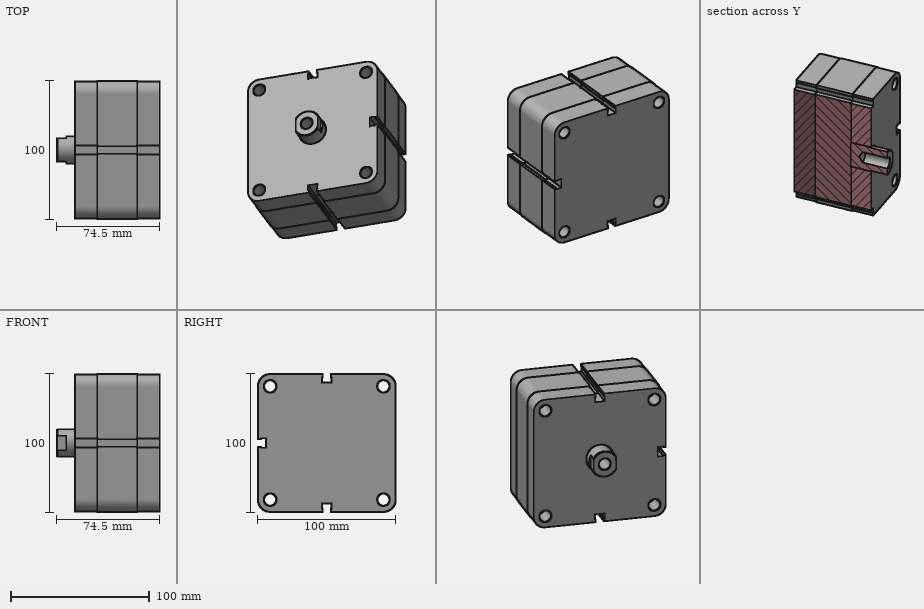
import cadquery as cq
import math

ROD_REACH = 13.0
CAP_LENGTH = 16.4
BODY_LENGTH = 61.5
BARREL_LENGTH = BODY_LENGTH - 2 * CAP_LENGTH

FRONT_CAP_X = 0.0
BARREL_X = FRONT_CAP_X + CAP_LENGTH
REAR_CAP_X = BARREL_X + BARREL_LENGTH

SIDE = 100.0
CORNER_RADIUS = 9.0
CAP_INSET = 0.3

SLOT_MOUTH_WIDTH = 5.6
SLOT_FLOOR_WIDTH = 6.6
SLOT_LIP_DEPTH = 2.7
SLOT_DEPTH = 6.0
SLOT_ANGLES = (-90, 0, 90)

BOLT_SPACING = SIDE - 2 * CORNER_RADIUS
BOLT_DIAMETER = 8.6

HOLE_CHAMFER = 0.4

ROD_DIAMETER = 20.0
ROD_CHAMFER = 0.5
ROD_FLAT_SPACING = 17.0
ROD_FLAT_LENGTH = 6.8
ROD_HOLE_DIAMETER = 8.6
ROD_HOLE_DEPTH = 20.0
DRILL_POINT_ANGLE = 118.0
ROD_TIP_X = FRONT_CAP_X - ROD_REACH
ROD_LENGTH = ROD_REACH + CAP_LENGTH


def slot_cutter(angle, inset):
    """Slot open to one side, with its walls and floor moved into the material by the inset."""
    floor_y = -SIDE / 2 + SLOT_DEPTH + inset
    lip_y = -SIDE / 2 + SLOT_LIP_DEPTH - inset
    outside_y = -SIDE
    mouth = (
        cq.Workplane("YZ")
        .center((outside_y + floor_y) / 2, 0)
        .rect(floor_y - outside_y, SLOT_MOUTH_WIDTH + 2 * inset)
        .extrude(BODY_LENGTH)
    )
    undercut = (
        cq.Workplane("YZ")
        .center((lip_y + floor_y) / 2, 0)
        .rect(floor_y - lip_y, SLOT_FLOOR_WIDTH + 2 * inset)
        .extrude(BODY_LENGTH)
    )
    return mouth.union(undercut).rotate((0, 0, 0), (1, 0, 0), angle)


def slotted_block(start_x, length, inset):
    """Rounded square block with sensor slots and tie rod holes along X."""
    width = SIDE - 2 * inset
    block = (
        cq.Workplane("YZ")
        .rect(width, width)
        .extrude(length)
        .edges("|X")
        .fillet(CORNER_RADIUS - inset)
        .faces("<X")
        .workplane(origin=(0, 0, 0))
        .rect(BOLT_SPACING, BOLT_SPACING, forConstruction=True)
        .vertices()
        .hole(BOLT_DIAMETER)
    )
    for angle in SLOT_ANGLES:
        block = block.cut(slot_cutter(angle, inset))
    return block.translate((start_x, 0, 0))


def make_cap(start_x, outer_face):
    """Inset block whose tie rod holes are chamfered on the outer end face."""
    return (
        slotted_block(start_x, CAP_LENGTH, CAP_INSET)
        .faces(outer_face)
        .edges("%CIRCLE")
        .edges(cq.selectors.RadiusNthSelector(0))
        .chamfer(HOLE_CHAMFER)
    )


def make_barrel():
    return slotted_block(BARREL_X, BARREL_LENGTH, 0.0)


def make_front_cap():
    """Front cap with a bore that the piston rod fills, chamfered at its mouth."""
    bore_radius = ROD_DIAMETER / 2
    bore = cq.Workplane("YZ", origin=(FRONT_CAP_X, 0, 0)).circle(bore_radius).extrude(CAP_LENGTH)
    bore_chamfer = cq.Workplane(
        cq.Solid.makeCone(
            bore_radius + HOLE_CHAMFER,
            bore_radius,
            HOLE_CHAMFER,
            pnt=cq.Vector(FRONT_CAP_X, 0, 0),
            dir=cq.Vector(1, 0, 0),
        )
    )
    return make_cap(FRONT_CAP_X, "<X").cut(bore).cut(bore_chamfer)


def make_rear_cap():
    return make_cap(REAR_CAP_X, ">X")


def rod_hole():
    """Blind drilled hole with a chamfered mouth and a conical bottom, revolved about the rod axis."""
    radius = ROD_HOLE_DIAMETER / 2
    cone_length = radius / math.tan(math.radians(DRILL_POINT_ANGLE / 2))
    shoulder_x = ROD_TIP_X + ROD_HOLE_DEPTH
    return (
        cq.Workplane("XY")
        .moveTo(ROD_TIP_X, 0)
        .lineTo(ROD_TIP_X, radius + HOLE_CHAMFER)
        .lineTo(ROD_TIP_X + HOLE_CHAMFER, radius)
        .lineTo(shoulder_x, radius)
        .lineTo(shoulder_x + cone_length, 0)
        .close()
        .revolve(360, (0, 0, 0), (1, 0, 0))
    )


def make_rod():
    """Piston rod with a chamfered tip, two wrench flats and an axial hole."""
    rod = (
        cq.Workplane("YZ", origin=(ROD_TIP_X, 0, 0))
        .circle(ROD_DIAMETER / 2)
        .extrude(ROD_LENGTH)
        .faces("<X")
        .chamfer(ROD_CHAMFER)
    )
    flat_cut_width = ROD_DIAMETER - ROD_FLAT_SPACING
    for side in (-1, 1):
        flat_cut = (
            cq.Workplane("YZ", origin=(ROD_TIP_X, 0, 0))
            .center(side * (ROD_FLAT_SPACING + flat_cut_width) / 2, 0)
            .rect(flat_cut_width, ROD_DIAMETER)
            .extrude(ROD_FLAT_LENGTH)
        )
        rod = rod.cut(flat_cut)
    return rod.cut(rod_hole())


front_cap = make_front_cap()
barrel = make_barrel()
rear_cap = make_rear_cap()
rod = make_rod()

result = cq.Compound.makeCompound([front_cap.val(), barrel.val(), rear_cap.val(), rod.val()])